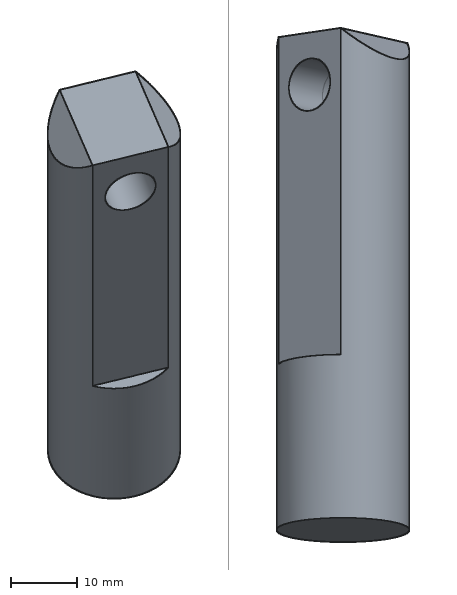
import cadquery as cq
import math

diameter = 20.0
length = 75.0
flat_width = 16.0
flat_length = 50.0
hole_diameter = 8.0
hole_from_top = 8.0

radius = diameter / 2
top_half_depth = math.sqrt(radius**2 - (flat_width / 2) ** 2)
bevel = radius - top_half_depth


def make_shank():
    """Round bar standing on the XY plane."""
    return cq.Workplane("XY").circle(radius).extrude(length)


def make_flat_cutter(side):
    """Block that removes one flat; side is +1 or -1 along X."""
    depth = radius - flat_width / 2
    return cq.Workplane("XY").box(depth, diameter, flat_length).translate(
        (side * (radius - depth / 2), 0, length - flat_length / 2)
    )


def make_bevel_cutter(side):
    """Triangular prism that bevels the top edge; side is +1 or -1 along Y."""
    profile = [
        (side * top_half_depth, length),
        (side * radius, length),
        (side * radius, length - bevel),
    ]
    return cq.Workplane("YZ").polyline(profile).close().extrude(radius, both=True)


def make_cross_hole():
    """Cylinder along X that passes through both flats."""
    return (
        cq.Workplane("YZ")
        .center(0, length - hole_from_top)
        .circle(hole_diameter / 2)
        .extrude(radius, both=True)
    )


result = make_shank()
for side in (-1, 1):
    result = result.cut(make_flat_cutter(side))
    result = result.cut(make_bevel_cutter(side))
result = result.cut(make_cross_hole())